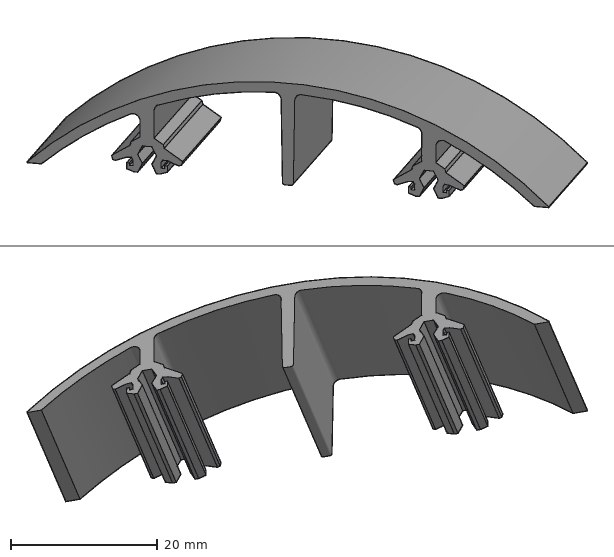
import cadquery as cq
import math

span = 74.05
length = 20.0
rise = 14.7

shell_thickness = 1.5
tip_height = 0.15
arc_rise = rise - tip_height
outer_radius = ((span / 2) ** 2 + arc_rise**2) / (2 * arc_rise)
inner_radius = outer_radius - shell_thickness
arc_centre_z = rise - outer_radius

root_fillet = 0.95
rib_top_width = 2.0
rib_tip_width = 1.55
rib_tip_fillet = 0.4
clip_offset = 20.0
stem_width = 2.0
arm_root_z = 5.1

socket_half_width = 1.3
socket_z = 2.6
socket_roof_z = 3.85
throat_half_width = 0.7
throat_z = 2 * socket_z - socket_roof_z
mouth_half_width = 1.3

knee_x, knee_z = 2.3, 4.3
step_x, step_z = 2.45, 3.8
arm_reach = 5.0
arm_tip_z = 2.1
arm_tip_chamfer = 0.15
arm_tip_side_z = 1.55
arm_toe_x, arm_toe_z = 4.5, 1.4
arm_flat_x, arm_flat_z = 2.95, 2.0

notch_wall = 2.0
notch_floor_z = 0.9
notch_top_z = 2.1
notch_top_chamfer_width = 0.2
notch_top_chamfer_height = 0.4
hook_inner = 2.5
hook_outer = 2.9
hook_top_z = 1.25
hook_corner_z = 0.4
hook_heel = 1.85


def underside_z(x):
    """Height of the shell's inner arc at a given X."""
    return arc_centre_z + math.sqrt(inner_radius**2 - x**2)


def extrude_profile(profile):
    """Extrude an XZ outline over the full length, centred on Y = 0."""
    return profile.extrude(length / 2, both=True)


def make_shell():
    inner_half_span = math.sqrt(inner_radius**2 - arc_centre_z**2)
    profile = (
        cq.Workplane("XZ")
        .moveTo(-span / 2, 0)
        .lineTo(-span / 2, tip_height)
        .threePointArc((0, rise), (span / 2, tip_height))
        .lineTo(span / 2, 0)
        .lineTo(inner_half_span, 0)
        .threePointArc((0, rise - shell_thickness), (-inner_half_span, 0))
        .close()
    )
    return extrude_profile(profile)


def make_rib():
    top_z = rise - shell_thickness / 2
    profile = cq.Workplane("XZ").polyline(
        [
            (-rib_top_width / 2, top_z),
            (rib_top_width / 2, top_z),
            (rib_tip_width / 2, 0),
            (-rib_tip_width / 2, 0),
        ]
    ).close()
    return extrude_profile(profile).edges("<Z and |Y").fillet(rib_tip_fillet)


def make_clip(centre_x):
    stem_top_z = underside_z(centre_x) + shell_thickness / 2
    half_outline = [
        (0, stem_top_z),
        (stem_width / 2, stem_top_z),
        (stem_width / 2, arm_root_z),
        (knee_x, knee_z),
        (step_x, step_z),
        (arm_reach - arm_tip_chamfer, arm_tip_z + arm_tip_chamfer),
        (arm_reach, arm_tip_z),
        (arm_reach - arm_tip_chamfer, arm_tip_side_z),
        (arm_toe_x, arm_toe_z),
        (arm_flat_x, arm_flat_z),
        (notch_wall + notch_top_chamfer_width, notch_top_z),
        (notch_wall, notch_top_z - notch_top_chamfer_height),
        (notch_wall, notch_floor_z),
        (hook_inner, notch_floor_z),
        (hook_inner, hook_top_z),
        (hook_outer, hook_top_z),
        (hook_outer, hook_corner_z),
        (hook_heel, 0),
        (mouth_half_width, 0),
        (throat_half_width, throat_z),
        (socket_half_width, socket_z),
        (throat_half_width, socket_roof_z),
        (0, socket_roof_z),
    ]
    half = extrude_profile(cq.Workplane("XZ").polyline(half_outline).close())
    return half.union(half.mirror("YZ")).translate((centre_x, 0, 0))


def fillet_root(body, x):
    """Round the edge along Y where a web side meets the shell at X."""
    edge = cq.selectors.NearestToPointSelector((x, 0, underside_z(x)))
    return body.edges("|Y").edges(edge).fillet(root_fillet)


result = make_shell().union(make_rib())
for clip_x in (-clip_offset, clip_offset):
    result = result.union(make_clip(clip_x))

for web_x, web_width in (
    (-clip_offset, stem_width),
    (0, rib_top_width),
    (clip_offset, stem_width),
):
    for side in (-1, 1):
        result = fillet_root(result, web_x + side * web_width / 2)